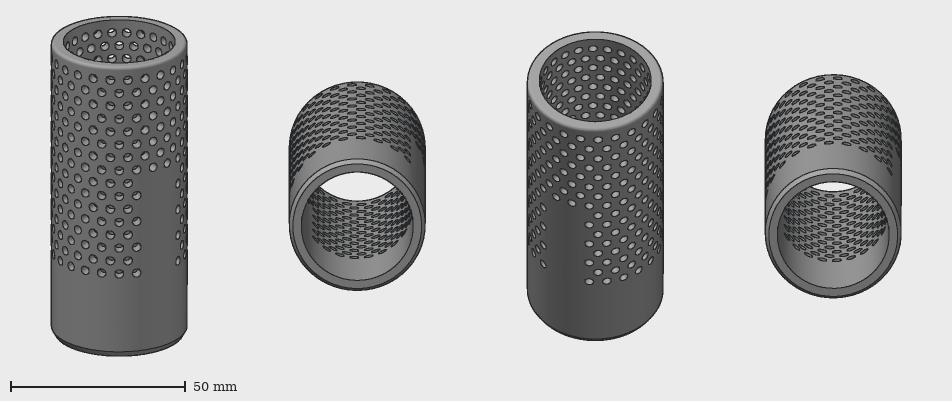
import cadquery as cq
import math

length = 90.0
outer_diameter = 39.0
bore_diameter = 32.0
outer_radius = outer_diameter / 2
bore_radius = bore_diameter / 2

top_round_radius = 1.0
bottom_chamfer_height = 1.8
bottom_chamfer_angle = 30.0
bottom_chamfer_depth = bottom_chamfer_height * math.tan(math.radians(bottom_chamfer_angle))

hole_diameter = 2.5
holes_per_row = 24
row_count = 16
full_row_count = 8
row_span = 60.0
row_pitch = row_span / (row_count - 1)
top_row_z = length - row_pitch
hole_angle_step = 360.0 / holes_per_row

blank_half_angle = 20.0


def make_sleeve():
    """Plain tube with a rounded top rim and a chamfered bottom rim."""
    sleeve = cq.Workplane("XY").circle(outer_radius).extrude(length)
    sleeve = sleeve.faces(">Z").edges().fillet(top_round_radius)
    lead_in = (
        cq.Workplane("XZ")
        .moveTo(outer_radius - bottom_chamfer_depth, 0)
        .lineTo(outer_radius, 0)
        .lineTo(outer_radius, bottom_chamfer_height)
        .close()
        .revolve(360, (0, 0, 0), (0, 1, 0))
    )
    bore = cq.Workplane("XY").circle(bore_radius).extrude(length)
    return sleeve.cut(lead_in).cut(bore)


def in_blank_strip(angle):
    """True if the angle, measured from +X, lies close to the +X or -X side."""
    angle_from_x_axis = abs((angle + 90) % 180 - 90)
    return angle_from_x_axis < blank_half_angle


def row_angles(row):
    """Angles of the holes in one row; every second row is turned by half a step."""
    stagger = (row % 2) * hole_angle_step / 2
    angles = [stagger + i * hole_angle_step for i in range(holes_per_row)]
    if row < full_row_count:
        return angles
    return [angle for angle in angles if not in_blank_strip(angle)]


def radial_hole(angle, z):
    """Cylinder starting inside the bore and running outward through the wall."""
    direction = cq.Vector(math.cos(math.radians(angle)), math.sin(math.radians(angle)), 0)
    start = direction * (bore_radius / 2) + cq.Vector(0, 0, z)
    return cq.Solid.makeCylinder(hole_diameter / 2, outer_radius, start, direction)


holes = [
    radial_hole(angle, top_row_z - row * row_pitch)
    for row in range(row_count)
    for angle in row_angles(row)
]

result = cq.Workplane("XY").newObject([make_sleeve().val().cut(*holes)])